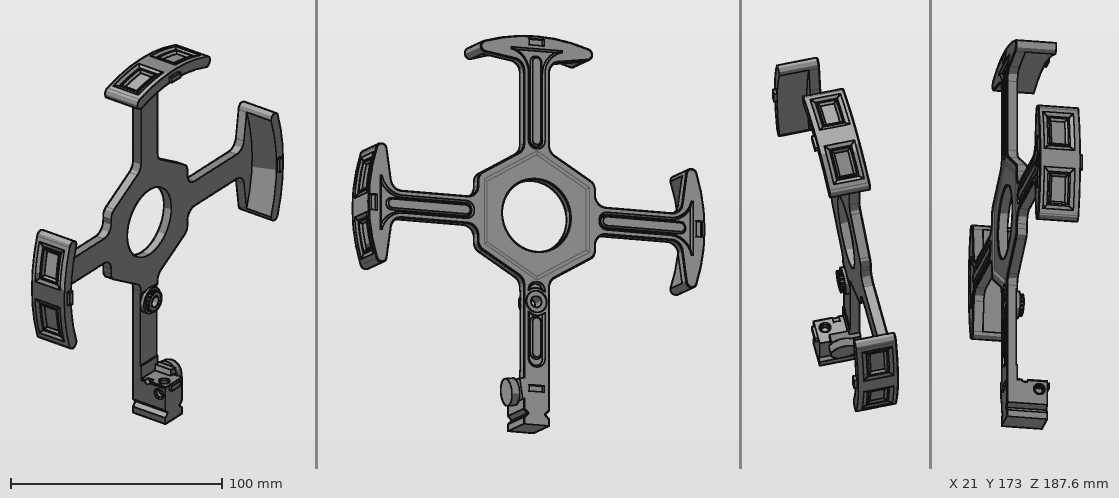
import cadquery as cq
import math


plate_thickness = 5.1
body_depth = 19.5
arm_half_width = 6.6
edge_chamfer = 0.4
fillet_radius = 5.5

hub_apothem = 30.2
hub_corner_radius = 5.0
hub_corner_reach = hub_apothem * math.tan(math.radians(30))
bore_diameter = 34.77
recess_apothem = 27.0
recess_floor_apothem = 25.4
recess_depth = 0.3

handle_reach = 86.5
handle_half_span = 28.7
handle_tip_radius = 2.8
handle_tip_y = handle_half_span - handle_tip_radius
handle_tip_z = math.sqrt((handle_reach - handle_tip_radius) ** 2 - handle_tip_y**2)
handle_root_z = 74.0
shell_center_z = 81.2

pad_center_x = 9.5
pad_center_offset = 14.7
pad_rim_size = (14.7, 20.2)
pad_step_depth = 0.8
pad_step_inset = 2.0
pad_ledge_width = 0.8
pad_floor_depth = 2.0
pad_floor_inset = 1.2

pin_radius_position = 82.9
pin_size = (6.8, 2.6)
pin_length = 1.5
socket_radius_position = 83.5
socket_size = (7.6, 3.1)
socket_depth = 2.0

channel_half_width = 4.3
channel_depth = 1.0
channel_taper = 43.0
channel_inner_end = 32.0
flare_start_z = 69.0
flare_middle = (6.3, 75.0)
flare_tip = (13.0, 79.4)
flare_top_z = 80.3
rib_half_width = 2.95
rib_taper = 40.0
rib_ends = (33.3, 76.9)
lower_channel_end = 73.2
lower_rib_ends = (48.5, 69.2)

lower_arm_thickness = 4.6
lower_arm_relief = (36.0, 74.6)
screw_z = -41.6
screw_hole_diameter = 5.4
boss_radius = 6.6
seat_diameter = 10.4
seat_depth = 0.4
nut_base_diameter = 13.0
nut_base_end = 6.7
nut_cap_diameter = 10.4
nut_end = 8.6

foot_top_z = -81.5
foot_bottom_z = -101.1
lower_arm_end = -90.0
notch_z = -95.8
notch_depth = 2.0
foot_top_chamfer = 0.6
blind_hole_diameter = 4.1
blind_hole_mouth_diameter = 5.4
blind_hole_depth = 3.0
cross_hole_x = 15.7
cross_hole_z = -86.1
top_hole_x = 15.0
top_hole_y = -1.5
groove_diameter = 3.2
groove_x = 8.8
groove_length = 3.0

wheel_tilt = 8.9
wheel_x = 8.8
wheel_face_y = 11.9
wheel_face_z = -84.7
wheel_diameter = 13.0
wheel_thickness = 4.0
lug_half_height = 5.0
lug_length = 4.0
lug_depth = 14.3

tooth_count = 16
tooth_depth = 0.4
tooth_width = 0.6

overlap = 2.0

HANDLE_ANGLES = (0, 90, -90)


def face_plane(x):
    """Sketch plane at height x: local x is Y, local y is Z, normal is +X."""
    return cq.Workplane("YZ", origin=(x, 0, 0))


def turned(body, angle):
    """Turn a body about the hub axis."""
    return body.rotate((0, 0, 0), (1, 0, 0), angle)


def edges_at(body, points):
    """Edges along X that pass through the given (y, z) points."""
    tolerance = 0.05

    def is_wanted(edge):
        center = edge.Center()
        return any(math.hypot(center.y - y, center.z - z) < tolerance for y, z in points)

    return body.edges("|X").filter(is_wanted)


def hexagon(x, apothem):
    corner_diameter = 2 * apothem / math.cos(math.radians(30))
    return face_plane(x).transformed(rotate=(0, 0, 90)).polygon(6, corner_diameter)


def capsule(x, half_width, start_z, end_z):
    """Round-ended slot outline along Z."""
    length = end_z - start_z
    return face_plane(x).center(0, (start_z + end_z) / 2).slot2D(length, 2 * half_width, 90)


def make_crescent(start_x, end_x, underside_z, is_arched):
    """Handle crescent between two heights, with an arched or a straight-sided underside."""
    touch_scale = handle_reach / (handle_reach - handle_tip_radius)
    touch_y = touch_scale * handle_tip_y
    touch_z = touch_scale * handle_tip_z
    bottom_z = handle_tip_z - handle_tip_radius
    outline = (
        face_plane(start_x)
        .moveTo(-touch_y, touch_z)
        .threePointArc((0, handle_reach), (touch_y, touch_z))
        .threePointArc((handle_half_span, handle_tip_z), (handle_tip_y, bottom_z))
    )
    if is_arched:
        outline = outline.threePointArc((0, underside_z), (-handle_tip_y, bottom_z))
    else:
        outline = (
            outline.lineTo(arm_half_width, underside_z)
            .lineTo(-arm_half_width, underside_z)
            .lineTo(-handle_tip_y, bottom_z)
        )
    outline = outline.threePointArc((-handle_half_span, handle_tip_z), (-touch_y, touch_z))
    return outline.close().extrude(end_x - start_x)


def make_arm(end_z):
    return (
        face_plane(0)
        .center(0, end_z / 2)
        .rect(2 * arm_half_width, abs(end_z))
        .extrude(plate_thickness)
    )


def make_plate():
    """Hub, four arms and the flat layer of the handles, blended and chamfered."""
    plate = hexagon(0, hub_apothem).extrude(plate_thickness).union(make_arm(lower_arm_end))
    handled_arm = make_arm(handle_tip_z).union(make_crescent(0, plate_thickness, handle_root_z, False))
    inner_corners = []
    outer_corners = []
    slope_z = (2 * hub_apothem - arm_half_width) * math.tan(math.radians(30))
    for side in (-1, 1):
        for end in (-1, 1):
            inner_corners.append((side * arm_half_width, end * slope_z))
            inner_corners.append((side * hub_apothem, end * arm_half_width))
            inner_corners.append((side * handle_root_z, end * arm_half_width))
            outer_corners.append((side * hub_apothem, end * hub_corner_reach))
        inner_corners.append((side * arm_half_width, handle_root_z))
    for angle in HANDLE_ANGLES:
        plate = plate.union(turned(handled_arm, angle))
    plate = edges_at(plate, inner_corners).fillet(fillet_radius)
    plate = edges_at(plate, outer_corners).fillet(hub_corner_radius)
    return plate.faces("<X").chamfer(edge_chamfer)


def make_hub_cutter():
    """Chamfered bore and the shallow hexagonal recess around it."""
    bore = face_plane(0).circle(bore_diameter / 2).extrude(plate_thickness)
    countersink = (
        face_plane(recess_depth)
        .circle(bore_diameter / 2 + edge_chamfer)
        .workplane(offset=edge_chamfer)
        .circle(bore_diameter / 2)
        .loft()
    )
    slope = math.degrees(math.atan((recess_apothem - recess_floor_apothem) / recess_depth))
    recess = hexagon(0, recess_apothem).extrude(recess_depth, taper=slope)
    return bore.union(recess).union(countersink)


def sloped_rib(start_z, end_z):
    """Rib that narrows from the channel floor up to the flat face."""
    tool = capsule(0, rib_half_width, start_z, end_z).extrude(channel_depth, taper=rib_taper)
    return tool.mirror("YZ").translate((channel_depth, 0, 0))


def make_arm_channel():
    """Channel of the handled arms: round at the hub, flared into a T below the handle."""
    tip_y, tip_z = flare_tip
    middle_y, middle_z = flare_middle
    round_z = channel_inner_end + channel_half_width
    channel = (
        face_plane(0)
        .moveTo(-channel_half_width, round_z)
        .threePointArc((0, channel_inner_end), (channel_half_width, round_z))
        .lineTo(channel_half_width, flare_start_z)
        .threePointArc((middle_y, middle_z), (tip_y, tip_z))
        .lineTo(tip_y, flare_top_z)
        .lineTo(-tip_y, flare_top_z)
        .lineTo(-tip_y, tip_z)
        .threePointArc((-middle_y, middle_z), (-channel_half_width, flare_start_z))
        .close()
        .extrude(channel_depth, taper=channel_taper)
    )
    return channel.cut(sloped_rib(*rib_ends))


def make_lower_channel():
    """Round-ended channel of the lower arm, interrupted by the screw boss and a rib."""
    channel = capsule(0, channel_half_width, -lower_channel_end, -channel_inner_end)
    channel = channel.extrude(channel_depth, taper=channel_taper)
    boss = face_plane(0).center(0, screw_z).circle(boss_radius).extrude(channel_depth)
    rib_start, rib_end = lower_rib_ends
    return channel.cut(boss).cut(sloped_rib(-rib_end, -rib_start))


def box_at(x, z, size, length):
    width, height = size
    return face_plane(x).center(0, z).rect(width, height).extrude(length)


def pad_stage(inset, bevel, start_depth, end_depth):
    """Bevelled recess that follows the outer arc, centred on the upper arm."""
    half_width = pad_rim_size[0] / 2 - inset
    half_length = pad_rim_size[1] / 2 - inset
    start_radius = handle_reach - start_depth
    floor_radius = handle_reach - end_depth
    top_z = handle_reach + pad_floor_depth
    ring_profile = [
        (pad_center_x - half_width, top_z),
        (pad_center_x - half_width, start_radius),
        (pad_center_x - half_width + bevel, floor_radius),
        (pad_center_x + half_width - bevel, floor_radius),
        (pad_center_x + half_width, start_radius),
        (pad_center_x + half_width, top_z),
    ]
    ring = cq.Workplane("XZ").polyline(ring_profile).close().revolve(360, (0, 0, 0), (1, 0, 0))
    start_z = math.sqrt(start_radius**2 - half_length**2)
    floor_z = math.sqrt(floor_radius**2 - (half_length - bevel) ** 2)
    wedge_profile = [
        (-half_length, top_z),
        (-half_length, start_z),
        (-half_length + bevel, floor_z),
        (half_length - bevel, floor_z),
        (half_length, start_z),
        (half_length, top_z),
    ]
    wedge = face_plane(0).polyline(wedge_profile).close().extrude(body_depth)
    return ring.intersect(wedge)


def make_pad_cutter():
    """Finger pad on one side of a handle: a bevelled rim, a ledge and a bevelled well."""
    well_inset = pad_step_inset + pad_ledge_width
    rim = pad_stage(0, pad_step_inset, 0, pad_step_depth)
    well = pad_stage(well_inset, pad_floor_inset, pad_step_depth, pad_floor_depth)
    pad_angle = math.degrees(math.asin(pad_center_offset / handle_reach))
    return turned(rim.union(well), pad_angle)


def knurled_disc(diameter, thickness):
    """Disc along +X with axial grooves around its rim."""
    disc = face_plane(0).circle(diameter / 2).extrude(thickness)
    grooves = (
        face_plane(0)
        .polarArray(diameter / 2, 0, 360, tooth_count)
        .rect(2 * tooth_depth, tooth_width)
        .extrude(thickness)
    )
    return disc.cut(grooves)


def make_nut():
    """Knurled nut behind the lower arm."""
    base_thickness = nut_base_end - lower_arm_thickness
    base = face_plane(lower_arm_thickness).circle(nut_base_diameter / 2).extrude(base_thickness)
    cap = knurled_disc(nut_cap_diameter, nut_end - nut_base_end).translate((nut_base_end, 0, 0))
    return base.union(cap).translate((0, 0, screw_z))


def make_wheel():
    """Tilted thumb wheel carried by a lug that is flush with the flat face."""
    wheel = cq.Workplane("XZ", origin=(wheel_x, 0, 0)).circle(wheel_diameter / 2).extrude(wheel_thickness)
    lug = cq.Workplane("XY").box(lug_depth, lug_length, 2 * lug_half_height, centered=(False, True, True))
    lug = lug.translate((0, -wheel_thickness - lug_length / 2, 0))
    return turned(wheel.union(lug), -wheel_tilt).translate((0, wheel_face_y, wheel_face_z))


def make_foot():
    """Foot block with a V notch across each side and chamfered front edges."""
    height = foot_top_z - foot_bottom_z
    foot = box_at(0, (foot_top_z + foot_bottom_z) / 2, (2 * arm_half_width, height), body_depth)
    for side in (-1, 1):
        outer_y = side * arm_half_width
        notch = (
            face_plane(0)
            .moveTo(outer_y, notch_z + notch_depth)
            .lineTo(outer_y - side * notch_depth, notch_z)
            .lineTo(outer_y, notch_z - notch_depth)
            .close()
            .extrude(body_depth)
        )
        foot = foot.cut(notch)
    foot = foot.faces("<X").edges("not <Z").chamfer(edge_chamfer)
    return foot.faces(">Z").edges("<Y").chamfer(foot_top_chamfer)


def countersunk_hole(plane):
    """Blind hole with a 45 degree mouth, drilled against the plane's normal."""
    mouth_depth = (blind_hole_mouth_diameter - blind_hole_diameter) / 2
    hole = plane.circle(blind_hole_diameter / 2).extrude(-blind_hole_depth)
    mouth = plane.circle(blind_hole_mouth_diameter / 2).extrude(-mouth_depth, taper=45)
    return hole.union(mouth)


def make_foot_holes():
    """Blind hole and half-round groove on the -Y side, blind hole on the top."""
    side_plane = cq.Workplane("XZ", origin=(0, -arm_half_width, 0))
    top_plane = cq.Workplane("XY", origin=(top_hole_x, top_hole_y, foot_top_z))
    groove = side_plane.center(groove_x, foot_top_z).circle(groove_diameter / 2).extrude(-groove_length)
    holes = countersunk_hole(side_plane.center(cross_hole_x, cross_hole_z))
    return holes.union(countersunk_hole(top_plane)).union(groove)


def make_lower_relief():
    """Thins the lower arm from behind."""
    start_z, end_z = lower_arm_relief
    size = (2 * arm_half_width, end_z - start_z)
    relief_depth = plate_thickness - lower_arm_thickness
    return box_at(lower_arm_thickness, -(start_z + end_z) / 2, size, relief_depth)


def make_part():
    part = make_plate().cut(make_hub_cutter()).cut(make_lower_relief())

    shell = make_crescent(plate_thickness - overlap, body_depth, shell_center_z, True)
    pin = box_at(body_depth - overlap, pin_radius_position, pin_size, pin_length + overlap)
    socket = box_at(0, socket_radius_position, socket_size, socket_depth)
    pad = make_pad_cutter()
    added = shell.union(pin)
    removed = socket.union(make_arm_channel()).union(pad).union(pad.mirror("XZ"))
    for angle in HANDLE_ANGLES:
        part = part.union(turned(added, angle)).cut(turned(removed, angle))

    part = part.union(make_foot()).union(turned(pin, 180))
    part = part.cut(make_foot_holes()).cut(turned(socket, 180))
    part = part.union(make_wheel()).cut(make_lower_channel()).union(make_nut())
    seat = face_plane(0).center(0, screw_z).circle(seat_diameter / 2).extrude(seat_depth)
    screw_hole = face_plane(0).center(0, screw_z).circle(screw_hole_diameter / 2).extrude(nut_end)
    return part.cut(seat).cut(screw_hole)


result = make_part()